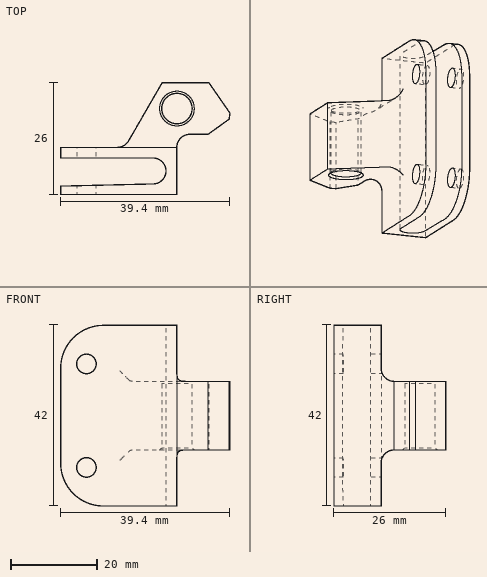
import cadquery as cq
import math

height = 42.0
block_length = 27.0
block_depth = 11.0
corner_radius = 10.0

slot_end_x = 24.45
slot_radius = 3.0
slot_center_y = 5.5
slot_mouth_y = 2.0

pin_diameter = 4.5
pin_x = 6.0
pin_spacing = 24.02

lug_height = 15.95
lug_top_y = 26.0
lug_top_left_x = 23.55
lug_top_right_x = 34.45
lug_nose_upper = (39.35, 18.9)
lug_nose_lower = (39.15, 17.5)
lug_bottom_right_x = 34.25
lug_slope = math.radians(60)
root_radius = 3.0

bore_y = 20.0
bore_diameter = 7.0
countersink_diameter = 8.05
countersink_depth = (countersink_diameter - bore_diameter) / 2


def make_block():
    block = cq.Workplane("XY").box(block_length, block_depth, height, centered=(False, False, True))
    return block.edges("<X and |Y").fillet(corner_radius)


def make_slot():
    arc_x = slot_end_x - slot_radius
    back_y = slot_center_y + slot_radius
    front_y = slot_center_y - slot_radius
    return (
        cq.Workplane("XY", origin=(0, 0, -height / 2))
        .moveTo(0, back_y)
        .lineTo(arc_x, back_y)
        .threePointArc((slot_end_x, slot_center_y), (arc_x, front_y))
        .lineTo(0, slot_mouth_y)
        .close()
        .extrude(height)
    )


def make_pin_holes():
    return (
        cq.Workplane("XZ")
        .pushPoints([(pin_x, -pin_spacing / 2), (pin_x, pin_spacing / 2)])
        .circle(pin_diameter / 2)
        .extrude(-block_depth)
    )


def make_lug():
    """Lug outline with blended roots, trimmed by a side shape that flares at the block."""
    root_y = block_depth + root_radius
    diagonal = root_radius * math.sqrt(0.5)
    flare_half = lug_height / 2 + root_radius

    slope_foot_x = lug_top_left_x - (lug_top_y - block_depth) / math.tan(lug_slope)
    tangent_length = root_radius * math.tan(lug_slope / 2)
    blend_start_x = slope_foot_x - tangent_length
    blend_mid = (
        blend_start_x + root_radius * math.sin(lug_slope / 2),
        root_y - root_radius * math.cos(lug_slope / 2),
    )
    blend_end = (
        slope_foot_x + tangent_length * math.cos(lug_slope),
        block_depth + tangent_length * math.sin(lug_slope),
    )
    foot_y = (block_depth + slot_center_y + slot_radius) / 2
    outline = (
        cq.Workplane("XY", origin=(0, 0, -flare_half))
        .moveTo(blend_start_x, foot_y)
        .lineTo(blend_start_x, block_depth)
        .threePointArc(blend_mid, blend_end)
        .lineTo(lug_top_left_x, lug_top_y)
        .lineTo(lug_top_right_x, lug_top_y)
        .lineTo(*lug_nose_upper)
        .lineTo(*lug_nose_lower)
        .lineTo(lug_bottom_right_x, root_y)
        .lineTo(block_length + root_radius, root_y)
        .threePointArc(
            (block_length + root_radius - diagonal, block_depth + diagonal),
            (block_length, block_depth),
        )
        .lineTo(block_length, foot_y)
        .close()
        .extrude(2 * flare_half)
    )
    side_shape = (
        cq.Workplane("YZ")
        .moveTo(foot_y, -flare_half)
        .lineTo(block_depth, -flare_half)
        .threePointArc((root_y - diagonal, diagonal - flare_half), (root_y, -lug_height / 2))
        .lineTo(lug_top_y, -lug_height / 2)
        .lineTo(lug_top_y, lug_height / 2)
        .lineTo(root_y, lug_height / 2)
        .threePointArc((root_y - diagonal, flare_half - diagonal), (block_depth, flare_half))
        .lineTo(foot_y, flare_half)
        .close()
        .extrude(lug_nose_upper[0])
    )
    return outline.intersect(side_shape)


def make_bore():
    """Half section of the bore, with a countersink at each end, revolved about its axis."""
    half = lug_height / 2
    bore_radius = bore_diameter / 2
    mouth_radius = countersink_diameter / 2
    return (
        cq.Workplane("XZ", origin=(block_length, bore_y, 0))
        .polyline([
            (0, -half),
            (mouth_radius, -half),
            (bore_radius, countersink_depth - half),
            (bore_radius, half - countersink_depth),
            (mouth_radius, half),
            (0, half),
        ])
        .close()
        .revolve(360, (0, 0, 0), (0, 1, 0))
    )


clevis = make_block().cut(make_slot()).cut(make_pin_holes())
result = clevis.union(make_lug().cut(make_bore()))